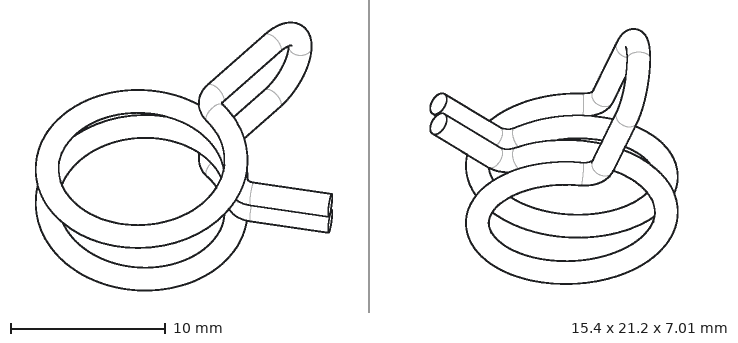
import cadquery as cq
import math

wire_diameter = 1.5
coil_outer_diameter = 13.7
bend_radius = 1.25

loop_angle = 120.0
tail_angle = 60.0
loop_height = 7.0
tail_gap = 0.1
loop_straight_end = 12.9
tail_end = 12.4

wire_radius = wire_diameter / 2
coil_radius = coil_outer_diameter / 2 - wire_radius
loop_z = loop_height / 2 - wire_radius
tail_z = tail_gap / 2 + wire_radius

bend_centre_distance = coil_radius + bend_radius
bend_span = math.degrees(math.asin(bend_radius / bend_centre_distance))
bend_leg_distance = math.sqrt(bend_centre_distance**2 - bend_radius**2)

coil_top_angle = loop_angle - bend_span
coil_bottom_angle = tail_angle + bend_span
coil_sweep = 360 + coil_top_angle - coil_bottom_angle
coil_rise = loop_z - tail_z
coil_pitch = coil_rise * 360 / coil_sweep


def polar(distance, angle, z):
    """Point at a distance and angle (degrees) about the Z axis."""
    radians = math.radians(angle)
    return cq.Vector(distance * math.cos(radians), distance * math.sin(radians), z)


def bend(leg_angle, coil_angle, z, leg_direction, coil_direction):
    """Rounded bend from the radial leg to the coil, tangent to both at its ends."""
    centre = polar(bend_centre_distance, coil_angle, z)
    leg_point = polar(bend_leg_distance, leg_angle, z)
    coil_point = polar(coil_radius, coil_angle, z)
    to_middle = ((leg_point - centre) + (coil_point - centre)).normalized()
    middle = centre + to_middle * bend_radius
    return cq.Edge.makeSpline(
        [leg_point, middle, coil_point],
        tangents=[leg_direction, coil_direction],
    )


def coil_direction(angle):
    """Unit direction of the descending coil at an angle, running clockwise seen from +Z."""
    slope = coil_pitch / (2 * math.pi * coil_radius)
    return (polar(1, angle - 90, 0) + cq.Vector(0, 0, -slope)).normalized()


def coil():
    """Helix rising from the tail bend to the loop bend, just over one turn."""
    helix = cq.Wire.makeHelix(coil_pitch, coil_rise, coil_radius)
    origin = cq.Vector(0, 0, 0)
    z_axis = cq.Vector(0, 0, 1)
    return helix.rotate(origin, z_axis, coil_bottom_angle).translate(cq.Vector(0, 0, tail_z))


def upper_path():
    """Centreline of the upper half: half loop, leg, bend, coil, bend and tail."""
    arc_radius = loop_z
    diagonal = arc_radius * math.sqrt(0.5)
    half_loop = cq.Edge.makeThreePointArc(
        polar(loop_straight_end + arc_radius, loop_angle, 0),
        polar(loop_straight_end + diagonal, loop_angle, diagonal),
        polar(loop_straight_end, loop_angle, arc_radius),
    )
    loop_leg = cq.Edge.makeLine(
        polar(loop_straight_end, loop_angle, loop_z),
        polar(bend_leg_distance, loop_angle, loop_z),
    )
    loop_bend = bend(
        loop_angle, coil_top_angle, loop_z, polar(-1, loop_angle, 0), coil_direction(coil_top_angle)
    )
    tail_bend = bend(
        tail_angle, coil_bottom_angle, tail_z, polar(-1, tail_angle, 0), -coil_direction(coil_bottom_angle)
    )
    tail = cq.Edge.makeLine(
        polar(bend_leg_distance, tail_angle, tail_z),
        polar(tail_end, tail_angle, tail_z),
    )
    return cq.Wire.assembleEdges([half_loop, loop_leg, loop_bend, *coil().Edges(), tail_bend, tail])


def upper_half():
    """Round wire swept along the upper centreline, starting at the loop's outermost point."""
    start = polar(loop_straight_end + loop_z, loop_angle, 0)
    section = cq.Workplane("XY", origin=start.toTuple()).circle(wire_radius)
    return section.sweep(cq.Workplane(upper_path()))


upper = upper_half()
result = upper.union(upper.mirror("XY"))